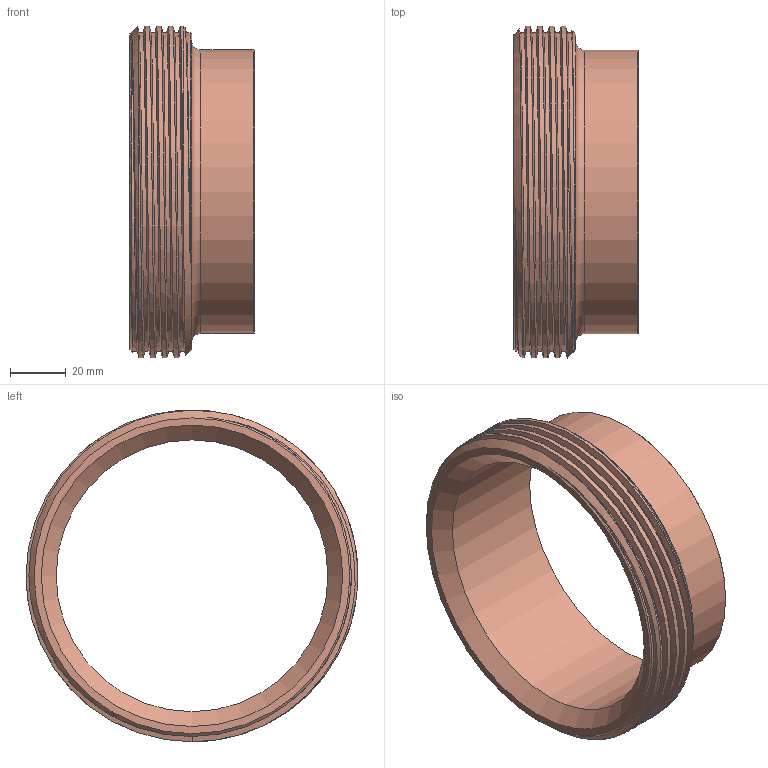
import cadquery as cq
import math

INCH = 25.4
TOTAL_LENGTH = 1.75 * INCH
BORE_RADIUS = 97.38 / 2
TUBE_RADIUS = 101.6 / 2
FILLET_RADIUS = 3.3
FILLET_END = INCH
COLLAR_LENGTH = FILLET_END - FILLET_RADIUS
TUBE_END_CHAMFER = 0.2

SEAT_RADIUS = 54.0
SEAT_DEPTH = SEAT_RADIUS - BORE_RADIUS

THREADS_PER_INCH = 6
PITCH = INCH / THREADS_PER_INCH
CREST_RADIUS = 118.95 / 2
ROOT_RADIUS = 114.22 / 2
THREAD_ANGLE = 29
FLANK_SLOPE = math.tan(math.radians(THREAD_ANGLE / 2))
ACME_CREST_RATIO = 0.3707
CREST_WIDTH = ACME_CREST_RATIO * PITCH
END_CHAMFER = 2.9
CUTTER_OVERRUN = 0.5
GROOVE_TURNS = 7
PHASE_SHIFT = 0.25
GROOVE_START = -PITCH / 2 - PHASE_SHIFT


def make_blank():
    """Unthreaded body: chamfered collar, fillet, tube, bore and conical seat."""
    fillet_center = (FILLET_END, TUBE_RADIUS + FILLET_RADIUS)
    diagonal = FILLET_RADIUS * math.sqrt(0.5)
    fillet_middle = (fillet_center[0] - diagonal, fillet_center[1] - diagonal)
    profile = (
        cq.Workplane("XY")
        .moveTo(0, SEAT_RADIUS)
        .lineTo(0, CREST_RADIUS - END_CHAMFER)
        .lineTo(END_CHAMFER, CREST_RADIUS)
        .lineTo(COLLAR_LENGTH - END_CHAMFER, CREST_RADIUS)
        .lineTo(COLLAR_LENGTH, CREST_RADIUS - END_CHAMFER)
        .lineTo(COLLAR_LENGTH, fillet_center[1])
        .threePointArc(fillet_middle, (FILLET_END, TUBE_RADIUS))
        .lineTo(TOTAL_LENGTH - TUBE_END_CHAMFER, TUBE_RADIUS)
        .lineTo(TOTAL_LENGTH, TUBE_RADIUS - TUBE_END_CHAMFER)
        .lineTo(TOTAL_LENGTH, BORE_RADIUS)
        .lineTo(SEAT_DEPTH, BORE_RADIUS)
        .close()
    )
    return profile.revolve(360, (0, 0, 0), (1, 0, 0))


def make_groove_turn():
    """One full turn of the helical groove, built along Z and then turned onto the X axis."""
    outer_radius = CREST_RADIUS + CUTTER_OVERRUN
    half_mouth = (PITCH - CREST_WIDTH) / 2
    half_outer = half_mouth + CUTTER_OVERRUN * FLANK_SLOPE
    half_root = half_mouth - (CREST_RADIUS - ROOT_RADIUS) * FLANK_SLOPE
    helix = cq.Wire.makeHelix(PITCH, PITCH, ROOT_RADIUS)
    groove = (
        cq.Workplane("XZ")
        .moveTo(ROOT_RADIUS, -half_root)
        .lineTo(outer_radius, -half_outer)
        .lineTo(outer_radius, half_outer)
        .lineTo(ROOT_RADIUS, half_root)
        .close()
        .sweep(cq.Workplane(helix), isFrenet=True)
    )
    along_x = groove.rotate((0, 0, 0), (0, 1, 0), 90)
    return along_x.translate((GROOVE_START, 0, 0))


def cut_thread(body):
    """Cut the thread one turn at a time; the turns join end to end."""
    turn = make_groove_turn()
    for index in range(GROOVE_TURNS):
        body = body.cut(turn.translate((index * PITCH, 0, 0)), clean=False)
    return body


result = cut_thread(make_blank())